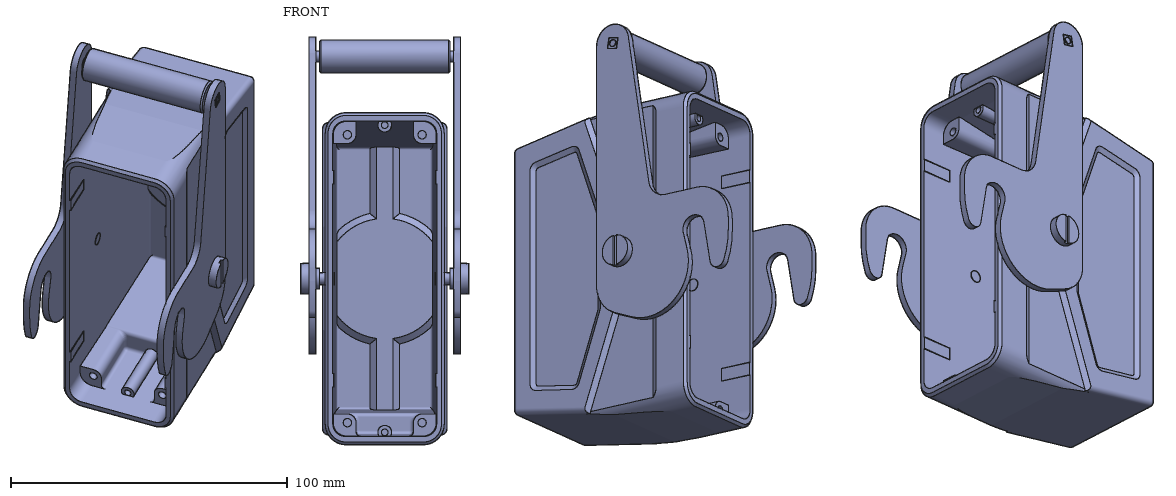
import cadquery as cq
import math


HOOD_DEPTH = 76.0
HALF_HEIGHT = 60.0
RIM_DEPTH = 11.3
KNEE_Y = 33.5
KNEE_HALF_HEIGHT = 58.1
BACK_HALF_HEIGHT = 50.6
FRONT_HALF_WIDTH = 21.5
FRONT_CORNER_RADIUS = 7.5
RIM_CHAMFER = 1.0
BACK_HALF_WIDTH = 22.5
BACK_EDGE_RADIUS = 2.0

PANEL_SLOPE = math.radians(20)
PANEL_FRONT_Y = 29.2
PANEL_STRAIGHT_HALF = 18.9
RECESS_HALF_WIDTH = 20.8
RECESS_START_Y = 13.1
RECESS_RAMP = 1.8
PANEL_CHAMFER = BACK_HALF_WIDTH - RECESS_HALF_WIDTH

POCKET_DEPTH = 1.2
POCKET_WALL_RUN = 1.9
POCKET_CORNER_RADIUS = 3.0
POCKET_BACK_Y = 68.2
POCKET_BACK_HALF = 43.1
POCKET_TOP_Y = 47.3
POCKET_TOP_HALF = 46.7
POCKET_FRONT_Y = 37.0
POCKET_STRAIGHT_HALF = 17.8

CAVITY_HALF_WIDTH = 18.8
CAVITY_HALF_HEIGHT = 57.0
CAVITY_CORNER_RADIUS = 4.7
CAVITY_DRAFT = 1.2
CAVITY_DEPTH = 72.5
CAVITY_BACK_HALF_HEIGHT = 47.3
BOSS_FACE_Y = 9.4
BOTTOM_LEDGE_Y = 32.0
BOTTOM_LEDGE_Z = -48.6
LEDGE_RADIUS = 1.5
LEDGE_FLOOR_RADIUS = 1.4
FLOOR_EDGE_RADIUS = 0.9

CORNER_SCREW_X = 13.5
CORNER_SCREW_Z = 52.0
CORNER_BOSS_RADIUS = 3.15
CORNER_HOLE_DIAMETER = 3.0
CENTRE_SCREW_Z = 55.5
CENTRE_BOSS_RADIUS = 2.5
CENTRE_HOLE_DIAMETER = 2.4
SCREW_HOLE_DEPTH = 12.0
WALL_PAD_Z = 36.7
WALL_PAD_HEIGHT = 4.8
WALL_PAD_END_Y = 12.4
WALL_PAD_RISE = 0.4

PAD_RISE = 2.0
PAD_RADIUS = 24.2
PAD_STEM_HALF_WIDTH = 5.4
PAD_TAPER = 50.0

PIVOT_Y = 25.0
PLATE_INNER_X = 24.9
PLATE_OUTER_X = 27.4
PLATE_THICKNESS = PLATE_OUTER_X - PLATE_INNER_X
ARM_END_RADIUS = 7.1
ARM_END_Z = 87.39 - ARM_END_RADIUS
ARM_BACK_Y = 35.3
ARM_END_Y = ARM_BACK_Y - ARM_END_RADIUS
ARM_LEAN = math.radians(9)
HOOK_TOP_Z = 18.0
HOOK_TOP_FILLET = 7.5
HOOK_TIP_Y = HOOD_DEPTH - 99.05
HOOK_RADIUS = 14.0
HOOK_STRAIGHT_END_Z = -1.0
HOOK_NOSE_CENTRE = (-18.1, -10.9)
HOOK_NOSE_RADIUS = 3.15
HOOK_NOSE_OUTER_ANGLE = math.radians(199)
SLOT_CENTRE = (-7.7, 3.0)
SLOT_RADIUS = 4.7
CAM_CENTRE = (12.6, -9.2)
CAM_RADIUS = 18.0
HEEL_RADIUS = 13.0
HEEL_CENTRE = (ARM_BACK_Y - HEEL_RADIUS, -10.7)

SCREW_HEAD_OUTER_X = 30.4
SCREW_HEAD_DIAMETER = 11.2
SCREW_SLOT_WIDTH = 1.6
SCREW_SLOT_DEPTH = 0.8
COLLAR_INNER_X = 23.5
COLLAR_DIAMETER = 7.6
SHAFT_INNER_X = 18.1
SHAFT_DIAMETER = 4.5

GRIP_DIAMETER = 12.0
GRIP_HALF_LENGTH = 23.6
GRIP_CHAMFER = 0.6
GRIP_PIN_DIAMETER = 4.0
PIN_SQUARE_SIZE = 4.0
PIN_SQUARE_TURN = 10.0
PIN_SQUARE_DEPTH = 0.3
PIN_END_DIAMETER = 2.6

SIDES = (-1, 1)


def into_hood(depth_y):
    """Work plane across the hood at the given depth, extruding toward +Y (local y points to -Z)."""
    return cq.Workplane(cq.Plane((0, depth_y, 0), (1, 0, 0), (0, 1, 0)))


def beside(x):
    """Work plane parallel to the hood's sides, with local axes Y and Z."""
    return cq.Workplane("YZ", origin=(x, 0, 0))


def rod(y, z, diameter, x_start, x_end):
    """Cylinder along X between two X positions."""
    return beside(x_start).center(y, z).circle(diameter / 2).extrude(x_end - x_start)


def mirror_in_z(upper):
    """Closed point list made of the upper half and its mirror image below Z = 0."""
    return upper + [(y, -z) for y, z in reversed(upper)]


def both_sides(solid):
    """The solid and its mirror image across X = 0, as one tool."""
    return solid.union(solid.mirror("YZ"))


def in_all_corners(solid):
    """The solid together with its mirror images in X and Z."""
    upper = both_sides(solid)
    return upper.union(upper.mirror("XY"))


def between_depths(y_start, y_end):
    """Selector for edges whose centres lie between two depths."""
    return cq.selectors.BoxSelector(
        (-BACK_HALF_WIDTH - 1, y_start, -HALF_HEIGHT - 1),
        (BACK_HALF_WIDTH + 1, y_end, HALF_HEIGHT + 1),
    )


def end_height(y):
    """Half height of the steep rear part of the hood at depth y."""
    share = (y - KNEE_Y) / (HOOD_DEPTH - KNEE_Y)
    return KNEE_HALF_HEIGHT + share * (BACK_HALF_HEIGHT - KNEE_HALF_HEIGHT)


def panel_top_y():
    """Depth at which the sloping front edge of the side panel meets the sloping end."""
    lean = math.tan(PANEL_SLOPE)
    fall = (KNEE_HALF_HEIGHT - BACK_HALF_HEIGHT) / (HOOD_DEPTH - KNEE_Y)
    offset = KNEE_HALF_HEIGHT + fall * KNEE_Y - PANEL_STRAIGHT_HALF
    return (PANEL_FRONT_Y + lean * offset) / (1 + lean * fall)


def outer_shell():
    """Solid hood: rim with side recesses in front, wider panelled block behind."""
    side_profile = mirror_in_z([
        (0, HALF_HEIGHT),
        (RIM_DEPTH, HALF_HEIGHT),
        (KNEE_Y, KNEE_HALF_HEIGHT),
        (HOOD_DEPTH, BACK_HALF_HEIGHT),
    ])
    envelope = beside(0).polyline(side_profile).close().extrude(BACK_HALF_WIDTH, both=True)

    meeting_y = panel_top_y()
    front = (
        into_hood(0)
        .rect(2 * FRONT_HALF_WIDTH, 2 * HALF_HEIGHT)
        .extrude(meeting_y + PANEL_CHAMFER)
        .edges("|Y")
        .fillet(FRONT_CORNER_RADIUS)
        .faces("<Y")
        .edges()
        .chamfer(RIM_CHAMFER)
        .intersect(envelope)
    )
    recess = (
        cq.Workplane("XY", origin=(0, 0, -HALF_HEIGHT))
        .polyline([
            (FRONT_HALF_WIDTH, RECESS_START_Y),
            (RECESS_HALF_WIDTH, RECESS_START_Y + RECESS_RAMP),
            (RECESS_HALF_WIDTH, HOOD_DEPTH),
            (FRONT_HALF_WIDTH, HOOD_DEPTH),
        ])
        .close()
        .extrude(2 * HALF_HEIGHT)
    )
    front = front.cut(both_sides(recess))

    rear_profile = mirror_in_z([
        (PANEL_FRONT_Y, PANEL_STRAIGHT_HALF),
        (meeting_y, end_height(meeting_y)),
        (HOOD_DEPTH, BACK_HALF_HEIGHT),
    ])
    rear = beside(0).polyline(rear_profile).close().extrude(BACK_HALF_WIDTH, both=True)
    rear = (
        rear.edges("#X")
        .edges(between_depths(PANEL_FRONT_Y - 1, meeting_y - 1))
        .chamfer(PANEL_CHAMFER)
    )
    rear = rear.edges(between_depths(meeting_y + 1, HOOD_DEPTH + 1)).fillet(BACK_EDGE_RADIUS)
    return front.union(rear)


def side_pocket():
    """Pocket with sloping walls, sunk into the +X side panel."""
    outline = [
        (POCKET_FRONT_Y, POCKET_STRAIGHT_HALF),
        (POCKET_TOP_Y, POCKET_TOP_HALF),
        (POCKET_BACK_Y, POCKET_BACK_HALF),
    ]
    blank = (
        beside(0)
        .polyline(mirror_in_z(outline))
        .close()
        .extrude(BACK_HALF_WIDTH)
        .edges("|X")
        .edges(between_depths(POCKET_FRONT_Y + 1, HOOD_DEPTH))
        .fillet(POCKET_CORNER_RADIUS)
    )
    wall_angle = math.degrees(math.atan(POCKET_WALL_RUN / POCKET_DEPTH))
    rim = blank.faces(">X").wires().toPending()
    return rim.extrude(-POCKET_DEPTH, combine=False, taper=wall_angle)


def cavity():
    """Drafted inner space, sloping at the top and stepped at the bottom."""
    lengthwise = [
        (0, HALF_HEIGHT),
        (BOSS_FACE_Y, CAVITY_HALF_HEIGHT),
        (CAVITY_DEPTH, CAVITY_BACK_HALF_HEIGHT),
        (CAVITY_DEPTH, -CAVITY_BACK_HALF_HEIGHT),
        (BOTTOM_LEDGE_Y, BOTTOM_LEDGE_Z),
        (BOTTOM_LEDGE_Y, -HALF_HEIGHT),
        (0, -HALF_HEIGHT),
    ]
    profile = (
        beside(0)
        .polyline(lengthwise)
        .close()
        .extrude(CAVITY_HALF_WIDTH, both=True)
    )
    ledge_edge = cq.selectors.NearestToPointSelector((0, BOTTOM_LEDGE_Y, BOTTOM_LEDGE_Z))
    profile = profile.edges(ledge_edge).fillet(LEDGE_RADIUS)
    tube = (
        into_hood(0)
        .rect(2 * CAVITY_HALF_WIDTH, 2 * CAVITY_HALF_HEIGHT)
        .extrude(CAVITY_DEPTH, taper=CAVITY_DRAFT)
    )
    tube = tube.edges("not(|X or |Z)").fillet(CAVITY_CORNER_RADIUS)
    return profile.intersect(tube).faces(">Y").edges().fillet(FLOOR_EDGE_RADIUS)


def screw_positions():
    """X, Z and hole diameter of the six screw holes."""
    corners = [
        (x_side * CORNER_SCREW_X, z_side * CORNER_SCREW_Z, CORNER_HOLE_DIAMETER)
        for x_side in SIDES
        for z_side in SIDES
    ]
    centres = [(0, z_side * CENTRE_SCREW_Z, CENTRE_HOLE_DIAMETER) for z_side in SIDES]
    return corners + centres


def corner_bosses():
    """Square bosses that fill the cavity's corners."""
    inner_x = CORNER_SCREW_X - CORNER_BOSS_RADIUS
    inner_z = CORNER_SCREW_Z - CORNER_BOSS_RADIUS
    length = HOOD_DEPTH - BOSS_FACE_Y
    boss = (
        cq.Workplane("XY")
        .box(CAVITY_HALF_WIDTH - inner_x, length, HALF_HEIGHT - inner_z, centered=False)
        .edges("|Y and <X and <Z")
        .fillet(CORNER_BOSS_RADIUS)
        .translate((inner_x, BOSS_FACE_Y, inner_z))
    )
    return in_all_corners(boss)


def centre_bosses():
    """Round bosses in the middle of the cavity's ends."""
    boss = (
        into_hood(BOSS_FACE_Y)
        .center(0, -CENTRE_SCREW_Z)
        .circle(CENTRE_BOSS_RADIUS)
        .extrude(HOOD_DEPTH - BOSS_FACE_Y)
    )
    return boss.union(boss.mirror("XY"))


def floor_pad():
    """Raised disc and stem on the cavity floor, with sloping sides."""
    toward_opening = cq.Workplane("XZ", origin=(0, CAVITY_DEPTH, 0))
    disc = toward_opening.circle(PAD_RADIUS).extrude(PAD_RISE, taper=PAD_TAPER)
    stem = toward_opening.rect(2 * PAD_STEM_HALF_WIDTH, 2 * HALF_HEIGHT).extrude(PAD_RISE, taper=PAD_TAPER)
    return disc.union(stem)


def wall_pads():
    """Slightly raised pads on the cavity's side walls, near the opening."""
    pad = cq.Workplane("XY").box(
        CAVITY_HALF_WIDTH, WALL_PAD_END_Y, WALL_PAD_HEIGHT, centered=(False, False, True)
    )
    pad = pad.translate((CAVITY_HALF_WIDTH - WALL_PAD_RISE, 0, WALL_PAD_Z))
    return in_all_corners(pad)


def make_hood():
    """Hollow hood with its bosses, pads, pockets, screw holes and hinge holes."""
    inner_x = CORNER_SCREW_X - CORNER_BOSS_RADIUS
    lower_recess_edges = cq.selectors.BoxSelector(
        (-inner_x - 0.1, BOSS_FACE_Y + 1, -CAVITY_HALF_HEIGHT),
        (inner_x + 0.1, BOTTOM_LEDGE_Y + 0.1, -CORNER_SCREW_Z - 1),
    )
    void = cavity().cut(corner_bosses()).edges(lower_recess_edges).fillet(LEDGE_FLOOR_RADIUS)
    void = void.cut(centre_bosses()).cut(floor_pad()).cut(wall_pads())
    body = outer_shell().cut(void).cut(both_sides(side_pocket()))
    for x, z, diameter in screw_positions():
        hole = into_hood(BOSS_FACE_Y).center(x, -z).circle(diameter / 2).extrude(SCREW_HOLE_DEPTH)
        body = body.cut(hole)
    return body.cut(rod(PIVOT_Y, 0, SHAFT_DIAMETER, -BACK_HALF_WIDTH, BACK_HALF_WIDTH))


def on_circle(centre, radius, angle):
    """Point on a circle in the YZ plane; the angle runs from +Y toward +Z."""
    return (centre[0] + radius * math.cos(angle), centre[1] + radius * math.sin(angle))


def shared_tangent_angle(centre_a, radius_a, centre_b, radius_b, side):
    """Angle of the contact points of a line touching two circles on the same side.

    side is +1 or -1 and picks one of the two such lines, counted from the direction a to b.
    """
    dy = centre_b[0] - centre_a[0]
    dz = centre_b[1] - centre_a[1]
    return math.atan2(dz, dy) + side * math.acos((radius_a - radius_b) / math.hypot(dy, dz))


def crossing_tangent_angle(centre_a, radius_a, centre_b, radius_b, side):
    """As above for a line that passes between the circles; the contact on b is opposite."""
    return shared_tangent_angle(centre_a, radius_a, centre_b, -radius_b, side)


def arc(path, centre, radius, start, end):
    """Add a circle arc from the path's present end, which lies at the start angle."""
    return path.threePointArc(
        on_circle(centre, radius, (start + end) / 2),
        on_circle(centre, radius, end),
    )


def line_and_arc(path, centre, radius, start, end):
    """Add a line to the circle's start angle, then the circle's arc to its end angle."""
    path = path.lineTo(*on_circle(centre, radius, start))
    return arc(path, centre, radius, start, end)


def lever_plate():
    """The +X side plate: arm, hook and rounded cam in one outline."""
    arm_centre = (ARM_END_Y, ARM_END_Z)
    hook_centre = (HOOK_TIP_Y + HOOK_RADIUS, HOOK_TOP_Z - HOOK_RADIUS)
    full_turn = 2 * math.pi
    arm_side_angle = math.pi - ARM_LEAN
    arm_side = on_circle(arm_centre, ARM_END_RADIUS, arm_side_angle)
    arm_foot = (arm_side[0] - (arm_side[1] - HOOK_TOP_Z) * math.tan(ARM_LEAN), HOOK_TOP_Z)
    nose_to_slot = crossing_tangent_angle(
        HOOK_NOSE_CENTRE, HOOK_NOSE_RADIUS, SLOT_CENTRE, SLOT_RADIUS, -1
    )
    slot_to_cam = crossing_tangent_angle(SLOT_CENTRE, SLOT_RADIUS, CAM_CENTRE, CAM_RADIUS, 1)
    cam_to_heel = shared_tangent_angle(CAM_CENTRE, CAM_RADIUS, HEEL_CENTRE, HEEL_RADIUS, -1)

    path = beside(PLATE_INNER_X).moveTo(ARM_BACK_Y, HEEL_CENTRE[1])
    path = line_and_arc(path, arm_centre, ARM_END_RADIUS, 0, arm_side_angle)
    path = path.lineTo(*arm_foot)
    path = line_and_arc(path, hook_centre, HOOK_RADIUS, math.pi / 2, math.pi)
    path = path.lineTo(HOOK_TIP_Y, HOOK_STRAIGHT_END_Z)
    path = path.tangentArcPoint(
        on_circle(HOOK_NOSE_CENTRE, HOOK_NOSE_RADIUS, HOOK_NOSE_OUTER_ANGLE), relative=False
    )
    path = arc(path, HOOK_NOSE_CENTRE, HOOK_NOSE_RADIUS, HOOK_NOSE_OUTER_ANGLE, nose_to_slot + full_turn)
    path = line_and_arc(path, SLOT_CENTRE, SLOT_RADIUS, nose_to_slot + math.pi, slot_to_cam)
    path = line_and_arc(path, CAM_CENTRE, CAM_RADIUS, slot_to_cam + math.pi, cam_to_heel + full_turn)
    path = line_and_arc(path, HEEL_CENTRE, HEEL_RADIUS, cam_to_heel, 0)
    plate = path.close().extrude(PLATE_THICKNESS)
    foot_edge = cq.selectors.NearestToPointSelector(
        (PLATE_INNER_X + PLATE_THICKNESS / 2, *arm_foot)
    )
    return plate.edges("|X").edges(foot_edge).fillet(HOOK_TOP_FILLET)


def hinge_screw():
    """Slotted screw on the +X side, with its collar and the shaft that enters the hood wall."""
    head = rod(PIVOT_Y, 0, SCREW_HEAD_DIAMETER, PLATE_OUTER_X, SCREW_HEAD_OUTER_X)
    slot = (
        beside(SCREW_HEAD_OUTER_X - SCREW_SLOT_DEPTH)
        .center(PIVOT_Y, 0)
        .rect(SCREW_SLOT_WIDTH, SCREW_HEAD_DIAMETER)
        .extrude(SCREW_SLOT_DEPTH)
    )
    collar = rod(PIVOT_Y, 0, COLLAR_DIAMETER, COLLAR_INNER_X, PLATE_INNER_X)
    shaft = rod(PIVOT_Y, 0, SHAFT_DIAMETER, SHAFT_INNER_X, COLLAR_INNER_X)
    return head.cut(slot).union(collar).union(shaft)


def grip_pin_end():
    """Square recess around the grip's round pin end, in the +X plate's outer face."""
    return (
        beside(PLATE_OUTER_X - PIN_SQUARE_DEPTH)
        .center(ARM_END_Y, ARM_END_Z)
        .transformed(rotate=(0, 0, PIN_SQUARE_TURN))
        .rect(PIN_SQUARE_SIZE, PIN_SQUARE_SIZE)
        .circle(PIN_END_DIAMETER / 2)
        .extrude(PIN_SQUARE_DEPTH)
    )


def make_lever():
    """Both side plates with their hinge screws, joined by the grip."""
    grip = rod(ARM_END_Y, ARM_END_Z, GRIP_DIAMETER, -GRIP_HALF_LENGTH, GRIP_HALF_LENGTH)
    grip = grip.faces("<X or >X").edges().chamfer(GRIP_CHAMFER)
    pin = rod(ARM_END_Y, ARM_END_Z, GRIP_PIN_DIAMETER, -PLATE_INNER_X, PLATE_INNER_X)
    side = lever_plate().union(hinge_screw()).cut(grip_pin_end())
    return grip.union(pin).union(both_sides(side))


hood = make_hood()
lever = make_lever()
result = cq.Compound.makeCompound([hood.val(), lever.val()])